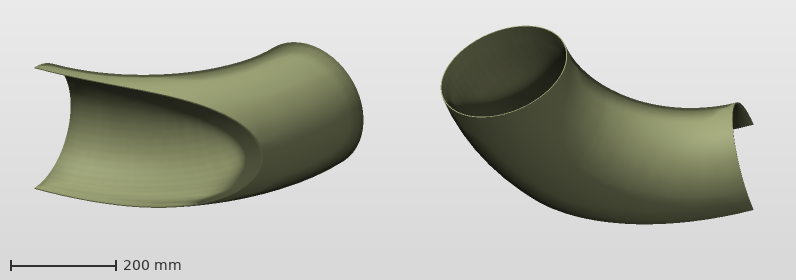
import cadquery as cq

OVERALL_LENGTH = 502.0
PIPE_DIAMETER = 254.0
WALL = 2.0

pipe_radius = PIPE_DIAMETER / 2
bend_radius = OVERALL_LENGTH - pipe_radius


def elbow():
    """Quarter-torus tube from the +X end (facing +Y) round to the -Y end (facing -X)."""
    return (
        cq.Workplane("XZ")
        .center(bend_radius, 0)
        .circle(pipe_radius)
        .circle(pipe_radius - WALL)
        .revolve(90, (-bend_radius, 0, 0), (-bend_radius, -1, 0))
    )


def trim_height(x):
    """Y of the trim line.

    A torus tube and an equal straight pipe along X, with its axis at y = -bend_radius,
    cross where sqrt(x^2 + y^2) = y + 2 * bend_radius, which is this parabola.
    """
    return x**2 / (4 * bend_radius) - bend_radius


def trim_tool():
    """Block holding everything on the outer side of the parabolic trim line."""
    end_x = OVERALL_LENGTH
    start = (0, trim_height(0))
    end = (end_x, trim_height(end_x))
    control = (end_x / 2, trim_height(0))
    bottom = -OVERALL_LENGTH - pipe_radius
    return (
        cq.Workplane("XY")
        .moveTo(*start)
        .bezier([start, control, end])
        .lineTo(end_x, bottom)
        .lineTo(0, bottom)
        .close()
        .extrude(PIPE_DIAMETER, both=True)
    )


result = elbow().cut(trim_tool())